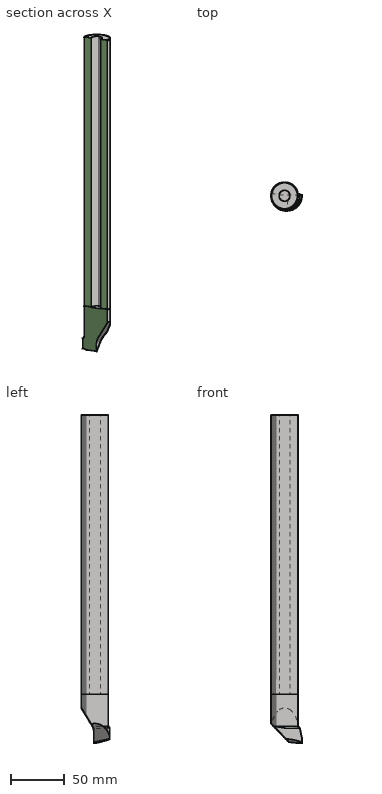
import cadquery as cq

total_length = 306.0
overall_width = 29.0
overall_depth = 27.0
bar_diameter = 25.5
bar_radius = bar_diameter / 2
joint_height = 45.5
bore_diameter = 10.0
shank_chamfer = 0.5

nose_diameter = 29.0
nose_radius = nose_diameter / 2
nose_reach_x = overall_width - bar_radius
nose_reach_y = overall_depth - bar_radius
nose_top = 16.2
flare_radius = 14.5
flare_bottom = 14.0
flank_base_radius = 17.5

slope_top = 18.7
slope_base_x = 5.2

rake_y = 1.0
rake_arc_start = 11.5
rake_arc_mid = (1.8, 15.3)
rake_arc_end = (4.0, 19.0)
rake_top = 33.5

relief_slope_y = 0.2
relief_slope_x = 0.1
tip_x = 15.3

cutter_size = 91.8


def half_space(anchor, normal):
    """Block that fills the side of a plane to which the normal points."""
    plane = cq.Plane(origin=anchor, normal=normal)
    return cq.Workplane(plane).rect(cutter_size, cutter_size).extrude(cutter_size)


def make_shank():
    """Straight round bar with a chamfered end and an axial bore."""
    bar = (
        cq.Workplane("XY", origin=(0, 0, joint_height))
        .circle(bar_radius)
        .extrude(total_length - joint_height)
        .faces(">Z")
        .chamfer(shank_chamfer)
    )
    return bar.faces(">Z").workplane().hole(bore_diameter)


def make_nose():
    """Eccentric round, trimmed by a flare and a steep cone about the bar axis."""
    center_x = nose_reach_x - nose_radius
    center_y = nose_radius - nose_reach_y
    eccentric_round = (
        cq.Workplane("XY")
        .center(center_x, center_y)
        .circle(nose_radius)
        .extrude(nose_top)
    )
    flared_cone = (
        cq.Workplane("XZ")
        .lineTo(flank_base_radius, 0)
        .lineTo(flare_radius, flare_bottom)
        .lineTo(bar_radius, nose_top)
        .lineTo(0, nose_top)
        .close()
        .revolve(360, (0, 0, 0), (0, 1, 0))
    )
    return eccentric_round.intersect(flared_cone)


def make_rake_cutter():
    """Clearance in front of the cutting face, running out up the +Y side."""
    return (
        cq.Workplane("YZ")
        .moveTo(rake_y, 0)
        .lineTo(rake_y, rake_arc_start)
        .threePointArc(rake_arc_mid, rake_arc_end)
        .lineTo(bar_radius, rake_top)
        .lineTo(cutter_size, rake_top)
        .lineTo(cutter_size, 0)
        .close()
        .extrude(cutter_size, both=True)
    )


def make_head():
    """Cutting head: round neck and nose, trimmed by slope, rake and relief."""
    neck = (
        cq.Workplane("XY", origin=(0, 0, nose_top))
        .circle(bar_radius)
        .extrude(joint_height - nose_top)
    )
    head = neck.union(make_nose())
    slope_run = slope_base_x + bar_radius
    back_slope = half_space((slope_base_x, 0, 0), (-slope_top, 0, -slope_run))
    end_relief = half_space((tip_x, rake_y, 0), (-relief_slope_x, -relief_slope_y, -1))
    return head.cut(back_slope).cut(make_rake_cutter()).cut(end_relief)


shank = make_shank()
head = make_head()
result = cq.Compound.makeCompound([shank.val(), head.val()])